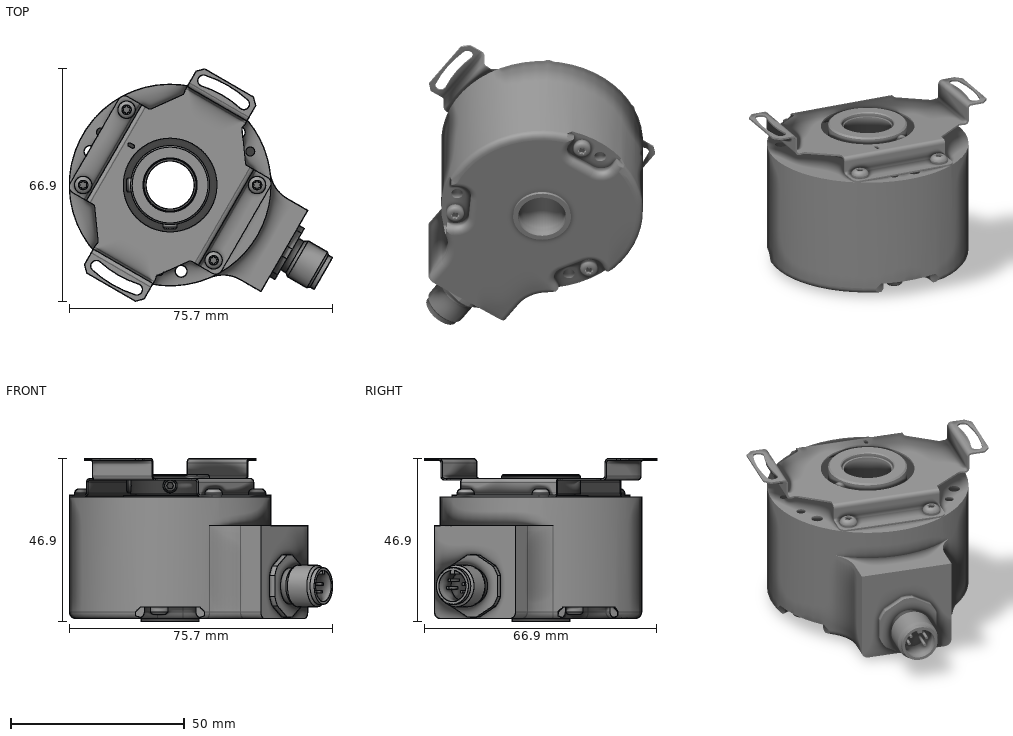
import cadquery as cq
import math

CONNECTOR_DIRECTION = -30

CLEARANCE = 0.75

BODY_RADIUS = 29.0
BODY_HEIGHT = 35.0
RIM_FILLET = 2.0
HUB_RADIUS = 8.3
HUB_HEIGHT = 0.8
BORE_RADIUS = 6.9

BLOCK_HEIGHT = 26.75
BLOCK_END = 37.95
BLOCK_HALF_WIDTH = 13.5
BLOCK_BLEND_RADIUS = 10.0

NOTCH_ANGLES = (60, 180, 300)
NOTCH_HALF_WIDTH = 7.4
NOTCH_INNER_RADIUS = 20.8
NOTCH_HEIGHT = 3.3
NOTCH_CORNER_RADIUS = 3.8
MOUTH_START_RADIUS = 26.9
MOUTH_TOP_HALF_WIDTH = 8.55
MOUTH_FLARE = 1.4
HOLE_CIRCLE_RADIUS = 25
HOLE_OFFSET_ANGLE = 7.3
THROUGH_HOLE_RADIUS = 1.7
TAPPED_HOLE_RADIUS = 1.3
TAPPED_HOLE_DEPTH = 7.6
EXTRA_HOLE_ANGLE = -90
EXTRA_HOLES = ((21.4, 1.7), (25.3, 1.05))

HEAD_RADIUS = 2.5
HEAD_RIM_HEIGHT = 0.7
HEAD_HEIGHT = 1.8
HEAD_TOP_RADIUS = 1.4
HEAD_DOME_BULGE = 0.15
BOTTOM_HEAD_HEIGHT = 2.2
BOTTOM_HEAD_RIM_HEIGHT = 1.4
TORX_LOBES = 6
TORX_RADIUS = 0.9
TORX_LOBE_RADIUS = 0.3
TORX_DEPTH = 0.9

COLLAR_RADIUS = 11.4
COLLAR_BOTTOM = 35.85
COLLAR_TOP = 41.45
COLLAR_CHAMFER = 0.45
COLLAR_SEAT_RADIUS = 9.85
PLATE_HOLE_RADIUS = 13.5
BOSS_HEIGHT = 0.4
BORE_MOUTH_RADIUS = 7.5
BORE_MOUTH_DEPTH = 1.2
BORE_MOUTH_CHAMFER = 0.3
SET_SCREW_DIRECTIONS = (180, 270)
SET_SCREW_RADIUS = 2.05
SET_SCREW_START = 9.1
SET_SCREW_REACH = 12.6
SET_SCREW_CHAMFER = 0.45
SET_SCREW_HEIGHT = 38.3
SET_SCREW_SOCKET = 2.0
SET_SCREW_SOCKET_DEPTH = 0.9

SHEET = 0.5
BEND_RADIUS = 0.7
PLATE_TOP = 40.4
TAB_TOP = 46.1
TAB_WALL = 27.3
TAB_END = 33.95
TAB_HALF_WIDTH = 9.9
TAB_CHAMFER = 1.8
SLOT_RADIUS = 31.5
SLOT_WIDTH = 3.2
SLOT_HALF_ANGLE = 12.3
FLANGE_WALL = 18.3
FLANGE_END = 25.15
FLANGE_HALF_LENGTH = 15.9
FLANGE_CORNER_RADIUS = 2.0
FLANGE_SCREW = (21.7, 12.5)
NECK_POINT = (9.7, 24.55)
SHOULDER_X = 15.9
PLATE_CORNER_RADIUS = 0.75
MARK_POSITION = (-15.4, 4.25)
MARK_LENGTH = 2.1
MARK_WIDTH = 1.05

CONNECTOR_HEIGHT = 9.4
NUT_FLAT_RADIUS = 8.5
NUT_CORNER_RADIUS = 9.0
NUT_END = 39.7
NECK_RADIUS = 5.2
NECK_END = 41.45
BARREL_RADIUS = 6.0
BARREL_START = 42.4
BARREL_END = 48.9
TIP_RADIUS = 5.3
TIP_START = 49.55
TIP_END = 50.9
SOCKET_RADIUS = 4.5
SOCKET_FLOOR = 43.95
PIN_END = 49.2
PIN_RADIUS = 0.42
PIN_CIRCLE_RADIUS = 2.65
PIN_ANGLES = (12, -39, 192, 141)
KEY_WIDTH = 1.2
KEY_INNER_RADIUS = 3.4


def polar(radius, angle):
    return radius * math.cos(math.radians(angle)), radius * math.sin(math.radians(angle))


def disc(radius, bottom, top, center=(0, 0)):
    return cq.Workplane("XY", origin=(0, 0, bottom)).center(*center).circle(radius).extrude(top - bottom)


def connector_block():
    """Block that blends into the round housing through two concave arcs."""
    blend_y = BLOCK_HALF_WIDTH + BLOCK_BLEND_RADIUS
    center_distance = BODY_RADIUS + BLOCK_BLEND_RADIUS
    flat_start = math.sqrt(center_distance**2 - blend_y**2)
    tangent_angle = math.degrees(math.atan2(blend_y, flat_start))
    touch_x, touch_y = polar(BODY_RADIUS, tangent_angle)
    mid_dx, mid_dy = polar(BLOCK_BLEND_RADIUS, (tangent_angle - 270) / 2)
    mid_x, mid_y = flat_start + mid_dx, blend_y + mid_dy
    return (
        cq.Workplane("XY")
        .moveTo(0, 0)
        .lineTo(touch_x, -touch_y)
        .threePointArc((mid_x, -mid_y), (flat_start, -BLOCK_HALF_WIDTH))
        .lineTo(BLOCK_END, -BLOCK_HALF_WIDTH)
        .lineTo(BLOCK_END, BLOCK_HALF_WIDTH)
        .lineTo(flat_start, BLOCK_HALF_WIDTH)
        .threePointArc((mid_x, mid_y), (touch_x, touch_y))
        .close()
        .extrude(BLOCK_HEIGHT)
    )


def notch(angle):
    depth = BODY_RADIUS - NOTCH_INNER_RADIUS + CLEARANCE
    return (
        cq.Workplane("XY")
        .center(NOTCH_INNER_RADIUS + depth / 2, 0)
        .rect(depth, 2 * NOTCH_HALF_WIDTH)
        .extrude(NOTCH_HEIGHT)
        .edges("|Z and <X")
        .fillet(NOTCH_CORNER_RADIUS)
        .rotate((0, 0, 0), (0, 0, 1), angle)
    )


def notch_mouth(angle):
    """Flared opening of a notch where it breaks out through the housing wall."""
    top = MOUTH_TOP_HALF_WIDTH
    bottom = top + MOUTH_FLARE
    flare_end = NOTCH_HEIGHT - MOUTH_FLARE
    return (
        cq.Workplane("YZ", origin=(MOUTH_START_RADIUS, 0, 0))
        .moveTo(-top, NOTCH_HEIGHT)
        .lineTo(top, NOTCH_HEIGHT)
        .lineTo(bottom, flare_end)
        .lineTo(bottom, 0)
        .lineTo(-bottom, 0)
        .lineTo(-bottom, flare_end)
        .close()
        .extrude(BODY_RADIUS - MOUTH_START_RADIUS)
        .rotate((0, 0, 0), (0, 0, 1), angle)
    )


def housing():
    body = disc(BODY_RADIUS, 0, BODY_HEIGHT).union(connector_block())
    for angle in NOTCH_ANGLES:
        body = body.cut(notch(angle))
    end_edge = cq.selectors.BoxSelector(
        (BLOCK_END - CLEARANCE, -BODY_RADIUS, -CLEARANCE),
        (BLOCK_END + CLEARANCE, BODY_RADIUS, CLEARANCE),
    )
    rim = body.faces("<Z").edges(cq.selectors.InverseSelector(end_edge))
    body = rim.fillet(RIM_FILLET)
    for angle in NOTCH_ANGLES:
        body = body.cut(notch_mouth(angle))
    body = body.union(disc(HUB_RADIUS, -HUB_HEIGHT, BODY_HEIGHT / 2))
    body = body.union(disc(PLATE_HOLE_RADIUS, BODY_HEIGHT, BODY_HEIGHT + BOSS_HEIGHT))
    for angle in NOTCH_ANGLES:
        through = polar(HOLE_CIRCLE_RADIUS, angle + HOLE_OFFSET_ANGLE)
        tapped = polar(HOLE_CIRCLE_RADIUS, angle - HOLE_OFFSET_ANGLE)
        body = body.cut(disc(THROUGH_HOLE_RADIUS, 0, BODY_HEIGHT, through))
        body = body.cut(disc(TAPPED_HOLE_RADIUS, BODY_HEIGHT - TAPPED_HOLE_DEPTH, BODY_HEIGHT, tapped))
    for distance, radius in EXTRA_HOLES:
        center = polar(distance, EXTRA_HOLE_ANGLE)
        body = body.cut(disc(radius, BODY_HEIGHT - TAPPED_HOLE_DEPTH, BODY_HEIGHT, center))
    return body


def screw_head(rim, height):
    """Domed head with a six-lobed socket, seated on Z = 0 and pointing up."""
    dome_radius = (HEAD_RADIUS + HEAD_TOP_RADIUS) / 2 + HEAD_DOME_BULGE
    dome_height = (rim + height) / 2 + HEAD_DOME_BULGE
    head = (
        cq.Workplane("XZ")
        .lineTo(HEAD_RADIUS, 0)
        .lineTo(HEAD_RADIUS, rim)
        .threePointArc((dome_radius, dome_height), (HEAD_TOP_RADIUS, height))
        .lineTo(0, height)
        .close()
        .revolve(360, (0, 0), (0, 1))
    )
    socket = disc(TORX_RADIUS, height - TORX_DEPTH, height)
    for lobe in range(TORX_LOBES):
        center = polar(TORX_RADIUS, lobe * 360 / TORX_LOBES)
        socket = socket.union(disc(TORX_LOBE_RADIUS, height - TORX_DEPTH, height, center))
    return head.cut(socket)


def bottom_screws():
    head = screw_head(BOTTOM_HEAD_RIM_HEIGHT, BOTTOM_HEAD_HEIGHT).rotate((0, 0, 0), (1, 0, 0), 180)
    screws = cq.Workplane("XY")
    for angle in NOTCH_ANGLES:
        x, y = polar(HOLE_CIRCLE_RADIUS, angle - HOLE_OFFSET_ANGLE)
        screws = screws.union(head.translate((x, y, NOTCH_HEIGHT)))
    return screws


def set_screw(direction):
    """Radial screw in the collar wall with a hexagon socket."""
    return (
        cq.Workplane("YZ", origin=(SET_SCREW_START, 0, SET_SCREW_HEIGHT))
        .circle(SET_SCREW_RADIUS)
        .extrude(SET_SCREW_REACH - SET_SCREW_START)
        .faces(">X")
        .chamfer(SET_SCREW_CHAMFER)
        .faces(">X")
        .workplane()
        .polygon(6, SET_SCREW_SOCKET)
        .cutBlind(-SET_SCREW_SOCKET_DEPTH)
        .rotate((0, 0, 0), (0, 0, 1), direction - CONNECTOR_DIRECTION)
    )


def collar():
    ring = disc(COLLAR_RADIUS, COLLAR_BOTTOM, COLLAR_TOP).faces(">Z").edges().chamfer(COLLAR_CHAMFER)
    ring = ring.union(disc(COLLAR_SEAT_RADIUS, BODY_HEIGHT, COLLAR_BOTTOM))
    for direction in SET_SCREW_DIRECTIONS:
        ring = ring.union(set_screw(direction))
    return ring


def bore():
    return (
        disc(BORE_RADIUS, -HUB_HEIGHT, COLLAR_TOP)
        .union(disc(BORE_MOUTH_RADIUS, COLLAR_TOP - BORE_MOUTH_DEPTH, COLLAR_TOP))
        .union(
            cq.Workplane("XY", origin=(0, 0, COLLAR_TOP))
            .circle(BORE_MOUTH_RADIUS + BORE_MOUTH_CHAMFER)
            .extrude(-BORE_MOUTH_CHAMFER, taper=45)
        )
    )


def stepped_sheet(wall, end, end_top, half_width):
    """Z-bent sheet along +X: leaves the plate, turns at the wall, ends at another level."""
    half = SHEET / 2
    bend = BEND_RADIUS + half
    plate_mid = PLATE_TOP - half
    end_mid = end_top - half
    up = math.copysign(1, end_mid - plate_mid)
    start = wall - bend - CLEARANCE
    return (
        cq.Workplane("XZ")
        .moveTo(start, plate_mid - up * half)
        .lineTo(wall - bend, plate_mid - up * half)
        .tangentArcPoint((wall + half, plate_mid + up * bend), relative=False)
        .lineTo(wall + half, end_mid - up * bend)
        .tangentArcPoint((wall + bend, end_mid - up * half), relative=False)
        .lineTo(end, end_mid - up * half)
        .lineTo(end, end_mid + up * half)
        .lineTo(wall + bend, end_mid + up * half)
        .tangentArcPoint((wall - half, end_mid - up * bend), relative=False)
        .lineTo(wall - half, plate_mid + up * bend)
        .tangentArcPoint((wall - bend, plate_mid + up * half), relative=False)
        .lineTo(start, plate_mid + up * half)
        .close()
        .extrude(half_width, both=True)
    )


def mounting_tab():
    tab = stepped_sheet(TAB_WALL, TAB_END, TAB_TOP, TAB_HALF_WIDTH)
    tab = tab.edges("|Z and >X").chamfer(TAB_CHAMFER)
    outer = SLOT_RADIUS + SLOT_WIDTH / 2
    inner = SLOT_RADIUS - SLOT_WIDTH / 2
    end_mid = polar(SLOT_RADIUS, SLOT_HALF_ANGLE)
    bulge_x, bulge_y = polar(SLOT_WIDTH / 2, SLOT_HALF_ANGLE + 90)
    end_tip = (end_mid[0] + bulge_x, end_mid[1] + bulge_y)
    slot = (
        cq.Workplane("XY", origin=(0, 0, TAB_TOP - 2 * SHEET))
        .moveTo(*polar(outer, -SLOT_HALF_ANGLE))
        .threePointArc((outer, 0), polar(outer, SLOT_HALF_ANGLE))
        .threePointArc(end_tip, polar(inner, SLOT_HALF_ANGLE))
        .threePointArc((inner, 0), polar(inner, -SLOT_HALF_ANGLE))
        .threePointArc((end_tip[0], -end_tip[1]), polar(outer, -SLOT_HALF_ANGLE))
        .close()
        .extrude(3 * SHEET)
    )
    return tab.cut(slot).rotate((0, 0, 0), (0, 0, 1), 90)


def screw_flange():
    flange = stepped_sheet(FLANGE_WALL, FLANGE_END, BODY_HEIGHT + SHEET, FLANGE_HALF_LENGTH)
    flange = flange.edges("|Z and >X").fillet(FLANGE_CORNER_RADIUS)
    head = screw_head(HEAD_RIM_HEIGHT, HEAD_HEIGHT)
    x, y = FLANGE_SCREW
    for side in (1, -1):
        flange = flange.union(head.translate((x, side * y, BODY_HEIGHT + SHEET)))
    return flange


def coupling():
    bend_run = BEND_RADIUS + SHEET / 2
    quarter = [
        (FLANGE_WALL - bend_run, FLANGE_HALF_LENGTH),
        (SHOULDER_X, FLANGE_HALF_LENGTH),
        NECK_POINT,
        (TAB_HALF_WIDTH, TAB_WALL - bend_run),
    ]
    corner_x, corner_y = SHOULDER_X + CLEARANCE, NECK_POINT[1] + CLEARANCE
    upper = quarter + [(-x, y) for x, y in reversed(quarter)]
    lower = [(-x, -y) for x, y in upper]
    plate = (
        cq.Workplane("XY", origin=(0, 0, PLATE_TOP - SHEET))
        .polyline(upper + lower)
        .close()
        .extrude(SHEET)
        .edges("|Z")
        .edges(cq.selectors.BoxSelector((-corner_x, -corner_y, 0), (corner_x, corner_y, TAB_TOP)))
        .fillet(PLATE_CORNER_RADIUS)
    )
    pieces = (mounting_tab(), screw_flange())
    for half_turn in (0, 180):
        for piece in pieces:
            plate = plate.union(piece.rotate((0, 0, 0), (0, 0, 1), half_turn))
    mark = (
        cq.Workplane("XY", origin=(*MARK_POSITION, PLATE_TOP - SHEET))
        .slot2D(MARK_LENGTH, MARK_WIDTH)
        .extrude(SHEET)
    )
    collar_hole = disc(PLATE_HOLE_RADIUS, PLATE_TOP - SHEET, PLATE_TOP)
    return plate.cut(collar_hole).cut(mark)


def connector():
    def rod(radius, start, end, center=(0, 0)):
        return cq.Workplane("YZ", origin=(start, 0, 0)).center(*center).circle(radius).extrude(end - start)

    nut = (
        cq.Workplane("YZ", origin=(BLOCK_END, 0, 0))
        .polygon(6, 2 * NUT_FLAT_RADIUS, circumscribed=True)
        .extrude(NUT_END - BLOCK_END)
        .intersect(rod(NUT_CORNER_RADIUS, BLOCK_END, NUT_END))
    )
    plug = (
        cq.Workplane("XY")
        .moveTo(BLOCK_END, 0)
        .lineTo(BLOCK_END, NECK_RADIUS)
        .lineTo(NECK_END, NECK_RADIUS)
        .lineTo(BARREL_START, BARREL_RADIUS)
        .lineTo(BARREL_END, BARREL_RADIUS)
        .lineTo(TIP_START, TIP_RADIUS)
        .lineTo(TIP_END, TIP_RADIUS)
        .lineTo(TIP_END, 0)
        .close()
        .revolve(360, (0, 0), (1, 0))
        .cut(rod(SOCKET_RADIUS, SOCKET_FLOOR, TIP_END))
    )
    for angle in PIN_ANGLES:
        center = polar(PIN_CIRCLE_RADIUS, angle)
        plug = plug.union(rod(PIN_RADIUS, SOCKET_FLOOR, PIN_END, center))
    key_length = TIP_END - SOCKET_FLOOR
    key_height = (SOCKET_RADIUS + TIP_RADIUS) / 2 - KEY_INNER_RADIUS
    key = (
        cq.Workplane("XY", origin=(SOCKET_FLOOR + key_length / 2, 0, KEY_INNER_RADIUS))
        .rect(key_length, KEY_WIDTH)
        .extrude(key_height)
    )
    return nut.union(plug).union(key).translate((0, 0, CONNECTOR_HEIGHT))


result = (
    housing()
    .union(bottom_screws())
    .union(collar())
    .cut(bore())
    .union(coupling())
    .union(connector())
    .rotate((0, 0, 0), (0, 0, 1), CONNECTOR_DIRECTION)
)